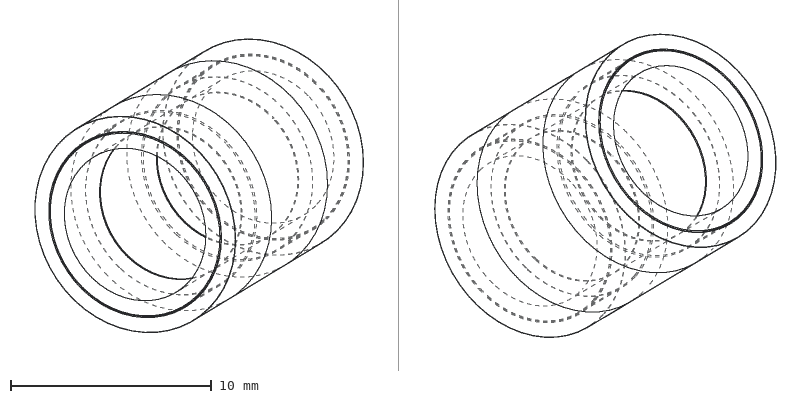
import cadquery as cq

total_length = 14.2
outer_diameter = 11.2
bore_diameter = 7.9

end_length = 4.0
ring_bore = 9.55
ring_outer_chamfer = 0.01
ring_bore_chamfer = 0.04

liner_diameter = 9.46
liner_end_gap = 0.1

spacer_length = total_length - 2 * end_length
liner_length = end_length - liner_end_gap


def tube(outside, inside, length):
    """Plain tube along Y, from the front end of the part toward +Y."""
    front_plane = cq.Workplane("XZ", origin=(0, -total_length / 2, 0))
    return front_plane.circle(outside / 2).circle(inside / 2).extrude(-length)


def end_ring():
    """Outer ring of the front end, with both edges of its exposed face chamfered."""
    ring = tube(outer_diameter, ring_bore, end_length)
    smallest_edge = cq.selectors.RadiusNthSelector(0)
    largest_edge = cq.selectors.RadiusNthSelector(-1)
    ring = ring.faces("<Y").edges(largest_edge).chamfer(ring_outer_chamfer)
    return ring.faces("<Y").edges(smallest_edge).chamfer(ring_bore_chamfer)


def end_liner():
    """Liner of the front end, flush with the exposed face of its ring."""
    return tube(liner_diameter, bore_diameter, liner_length)


spacer = tube(outer_diameter, bore_diameter, spacer_length).translate((0, end_length, 0))

rings_and_liners = []
for front_body in (end_ring(), end_liner()):
    rings_and_liners.append(front_body.val())
    rings_and_liners.append(front_body.mirror("XZ").val())

result = cq.Compound.makeCompound([spacer.val(), *rings_and_liners])